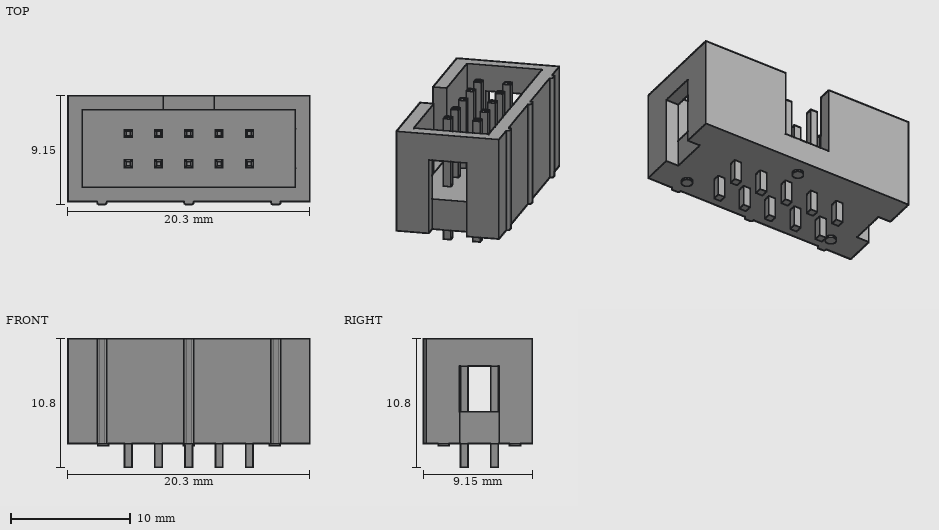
import cadquery as cq

body_length = 20.3
body_width = 8.9
body_height = 8.8
wall = 1.2
floor_height = 2.67

notch_width = 4.3
notch_bottom = 2.3
window_width = 3.3
window_height = 6.5

rib_count = 3
rib_pitch = 7.3
rib_width = 0.82
rib_projection = 0.25
rib_radius = 0.2

foot_offset_x = 7.2
foot_offset_y = 3.0
foot_diameter = 0.94
foot_height = 0.2

pin_columns = 5
pin_rows = 2
pin_pitch = 2.54
pin_size = 0.65
pin_top = 8.74
pin_tail = 2.01
tip_inset = 0.15
tip_height = 0.1


def make_housing():
    """Box with the mating cavity hollowed out above the floor."""
    box = cq.Workplane("XY").box(body_length, body_width, body_height, centered=(True, True, False))
    cavity = (
        cq.Workplane("XY")
        .workplane(offset=floor_height)
        .rect(body_length - 2 * wall, body_width - 2 * wall)
        .extrude(body_height - floor_height)
    )
    return box.cut(cavity)


def make_notch():
    """Opening through the +Y wall, from just below the cavity floor up to the rim."""
    return (
        cq.Workplane("XY")
        .workplane(offset=notch_bottom)
        .center(0, body_width / 2 - wall / 2)
        .rect(notch_width, wall)
        .extrude(body_height - notch_bottom)
    )


def make_end_windows():
    """Recesses one wall deep in both ends, open at the underside and into the cavity."""
    return (
        cq.Workplane("XY")
        .rarray(body_length - wall, 1, 2, 1)
        .rect(wall, window_width)
        .extrude(window_height)
    )


def make_ribs():
    """Full-height ribs with rounded outer edges, rooted inside the -Y wall."""
    root_depth = wall / 2
    depth = root_depth + rib_projection
    rib_centre_y = -body_width / 2 - rib_projection + depth / 2
    return (
        cq.Workplane("XY")
        .center(0, rib_centre_y)
        .rarray(rib_pitch, 1, rib_count, 1)
        .rect(rib_width, depth)
        .extrude(body_height)
        .edges("|Z and <Y")
        .fillet(rib_radius)
    )


def make_feet():
    """Short round feet: two near the -Y face and one midway along the +Y side."""
    foot_centres = [
        (-foot_offset_x, -foot_offset_y),
        (foot_offset_x, -foot_offset_y),
        (0, foot_offset_y),
    ]
    return (
        cq.Workplane("XY")
        .pushPoints(foot_centres)
        .circle(foot_diameter / 2)
        .extrude(-foot_height)
    )


def make_pins():
    """Grid of square pins running through the floor, each with a tapered upper tip."""
    tip_base = pin_top - tip_height
    pin = (
        cq.Workplane("XY")
        .workplane(offset=-pin_tail)
        .rect(pin_size, pin_size)
        .extrude(pin_tail + tip_base)
        .faces(">Z")
        .workplane()
        .rect(pin_size, pin_size)
        .workplane(offset=tip_height)
        .rect(pin_size - 2 * tip_inset, pin_size - 2 * tip_inset)
        .loft(combine=True)
    )
    return (
        cq.Workplane("XY")
        .rarray(pin_pitch, pin_pitch, pin_columns, pin_rows)
        .eachpoint(lambda place: pin.val().moved(place))
    )


housing = make_housing().union(make_ribs())
housing = housing.cut(make_notch()).cut(make_end_windows())
result = housing.union(make_feet()).union(make_pins())